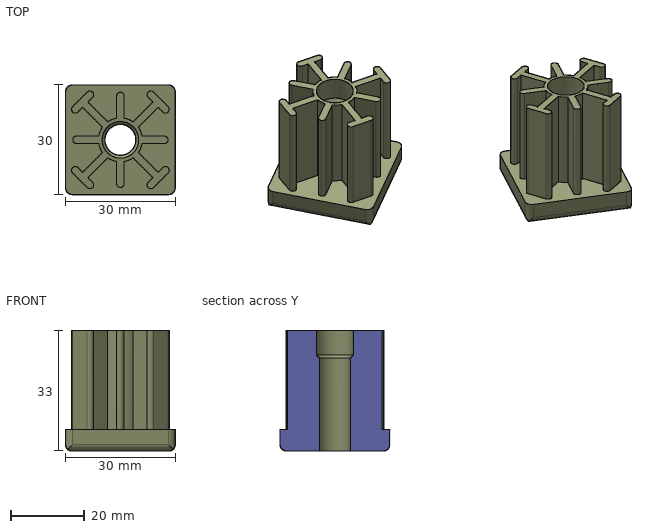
import cadquery as cq

plate_side = 30.0
plate_thickness = 5.99
plate_corner_radius = 1.9
bottom_edge_radius = 1.8

core_height = 27.0
tube_diameter = 12.0
rib_width = 2.05
crossbar_width = 2.05
straight_rib_reach = 13.0
crossbar_distance = 14.6
crossbar_length = 7.7

upper_bore_diameter = 10.0
lower_bore_diameter = 8.38
upper_bore_depth = 6.75

total_height = plate_thickness + core_height
straight_rib_pair_angles = (0, 90)
crossbar_angles = (45, 135, 225, 315)


def make_plate():
    """Plate with round upright corners; the bottom roundings meet in mitres."""
    plate = (
        cq.Workplane("XY")
        .rect(plate_side, plate_side)
        .extrude(plate_thickness)
        .edges("|Z")
        .fillet(plate_corner_radius)
    )
    for plane, long_edges in (("XZ", "|Y"), ("YZ", "|X")):
        bar = (
            cq.Workplane(plane)
            .rect(plate_side, plate_thickness)
            .extrude(plate_side / 2, both=True)
            .translate((0, 0, plate_thickness / 2))
            .faces("<Z")
            .edges(long_edges)
            .fillet(bottom_edge_radius)
        )
        plate = plate.intersect(bar)
    return plate


def core_section():
    """Workplane on top of the plate, where the core sections are drawn."""
    return cq.Workplane("XY").workplane(offset=plate_thickness)


def make_tube():
    return core_section().circle(tube_diameter / 2).extrude(core_height)


def make_straight_rib_pair():
    """Pair of opposite ribs along X with rounded tips."""
    return core_section().slot2D(2 * straight_rib_reach, rib_width).extrude(core_height)


def make_crossbar_rib():
    """Rib along +X that ends in a crossbar with rounded ends."""
    web = (
        core_section()
        .center(crossbar_distance / 2, 0)
        .rect(crossbar_distance, rib_width)
        .extrude(core_height)
    )
    crossbar = (
        core_section()
        .center(crossbar_distance, 0)
        .slot2D(crossbar_length, crossbar_width, 90)
        .extrude(core_height)
    )
    return web.union(crossbar)


def turned(shape, angle):
    return shape.rotate((0, 0, 0), (0, 0, 1), angle)


def make_bore():
    """Revolved bore with a 45 degree shoulder between its two diameters."""
    upper_radius = upper_bore_diameter / 2
    lower_radius = lower_bore_diameter / 2
    shoulder_top = total_height - upper_bore_depth
    shoulder_bottom = shoulder_top - (upper_radius - lower_radius)
    return (
        cq.Workplane("XZ")
        .lineTo(lower_radius, 0)
        .lineTo(lower_radius, shoulder_bottom)
        .lineTo(upper_radius, shoulder_top)
        .lineTo(upper_radius, total_height)
        .lineTo(0, total_height)
        .close()
        .revolve(360, (0, 0, 0), (0, 1, 0))
    )


result = make_plate().union(make_tube())
for angle in straight_rib_pair_angles:
    result = result.union(turned(make_straight_rib_pair(), angle))
for angle in crossbar_angles:
    result = result.union(turned(make_crossbar_rib(), angle))
result = result.cut(make_bore())